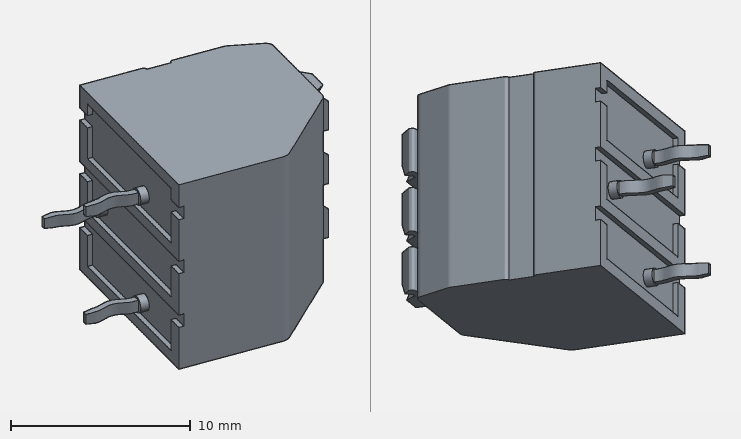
import cadquery as cq
import math


width = 12.0
length = 12.0
height = 11.5
poles = 3
pitch = 3.5
front_corner_radius = 0.8
round_radius = 0.5
rear_slope_run = 0.86
rear_slope_rise = 2.37
front_chamfer = 4.68

groove_depth = 0.2
groove_bottom = 4.1
groove_top = 5.61

recess_depth = 0.32
side_wall = 0.95
recess_start = 0.71
vent_start = 2.72
vent_end = 3.52
last_recess_end = 11.27

hook_start = 0.96
hook_length = 2.57
hook_height = 1.63
hook_nose_x = 2.0
hook_stem_x = 2.49
hook_back_x = 4.71
hook_chamfer = 0.73
nose_thickness = 0.28
nose_underside_drop = 0.08
nose_top_round = 0.13
nose_bottom_round = 0.18
hook_throat_round = 0.1

slot_angle = 35.6
slot_depth = 0.68
slot_top_width = 0.95
slot_floor_width = 0.22
slot_length = 9.96

pin_z = 1.76
front_pin_x = 7.32
rear_pin_x = 2.32
rear_blade_shift = -0.03
collar_radius = 0.5
collar_length = 0.22
pin_thickness = 0.42
pin_breadth = 0.75
pin_length = 3.47
tip_thickness = 0.28
tip_breadth = 0.63
tip_start = 2.9
kink_start = 0.66
kink_end = 2.69
kink_offset = 0.35
kink_radius = 1.16


def make_housing():
    blank = (
        cq.Workplane("XY")
        .moveTo(0, 0)
        .lineTo(width, 0)
        .lineTo(width, height - front_chamfer)
        .lineTo(width - front_chamfer, height)
        .lineTo(rear_slope_run, height)
        .lineTo(0, height - rear_slope_rise)
        .close()
        .extrude(length)
    )
    rounded = blank.edges("|Z and >X").edges(">Y").fillet(front_corner_radius)
    slope_ends = (
        (width - front_chamfer, height),
        (rear_slope_run, height),
        (0, height - rear_slope_rise),
    )
    for x, y in slope_ends:
        corner = cq.selectors.NearestToPointSelector((x, y, length / 2))
        rounded = rounded.edges("|Z").edges(corner).fillet(round_radius)

    groove = (
        cq.Workplane("XY")
        .moveTo(0, groove_bottom - groove_depth)
        .radiusArc((groove_depth, groove_bottom), groove_depth)
        .lineTo(groove_depth, groove_top)
        .radiusArc((0, groove_top + groove_depth), groove_depth)
        .close()
        .extrude(length)
    )
    return rounded.cut(groove)


def underside_pocket(x_start, x_end, z_start, z_end):
    pocket = cq.Workplane("XY").box(x_end - x_start, recess_depth, z_end - z_start, centered=False)
    return pocket.translate((x_start, 0, z_start))


def make_hook():
    top = height + hook_height
    nose_top = top - hook_chamfer
    nose_bottom = nose_top - nose_thickness
    root = height - hook_height
    hook = (
        cq.Workplane("XY")
        .moveTo(hook_stem_x, root)
        .lineTo(hook_back_x, root)
        .lineTo(hook_back_x, top)
        .lineTo(hook_nose_x + hook_chamfer, top)
        .lineTo(hook_nose_x, nose_top)
        .lineTo(hook_nose_x, nose_bottom)
        .lineTo(hook_stem_x, nose_bottom - nose_underside_drop)
        .close()
        .extrude(hook_length)
    )
    nose_rounds = (
        (hook_nose_x, nose_top, nose_top_round),
        (hook_nose_x, nose_bottom, nose_bottom_round),
        (hook_stem_x, nose_bottom - nose_underside_drop, hook_throat_round),
    )
    for x, y, radius in nose_rounds:
        corner = cq.selectors.NearestToPointSelector((x, y, hook_length / 2))
        hook = hook.edges("|Z").edges(corner).fillet(radius)

    angle = math.radians(slot_angle)
    slot_plane = cq.Plane(
        origin=((hook_nose_x + hook_chamfer + hook_back_x) / 2, top, hook_length / 2),
        xDir=(math.cos(angle), 0, -math.sin(angle)),
        normal=(math.sin(angle), 0, math.cos(angle)),
    )
    slot = (
        cq.Workplane(slot_plane)
        .moveTo(-slot_top_width / 2, 0)
        .lineTo(-slot_floor_width / 2, -slot_depth)
        .lineTo(slot_floor_width / 2, -slot_depth)
        .lineTo(slot_top_width / 2, 0)
        .close()
        .extrude(slot_length / 2, both=True)
    )
    return hook.cut(slot)


def make_pin(bend_direction, blade_shift):
    """Pin along -Y with its collar on the Y axis, kinked towards bend_direction (+1 or -1) along X."""
    half = pin_thickness / 2
    bend = bend_direction * kink_offset
    kink_middle = (kink_start + kink_end) / 2
    blade = (
        cq.Workplane("XY")
        .moveTo(-half, 0)
        .lineTo(-half, -kink_start)
        .lineTo(bend - half, -kink_middle)
        .lineTo(-half, -kink_end)
        .lineTo(-half, -tip_start)
        .lineTo(half, -tip_start)
        .lineTo(half, -kink_end)
        .lineTo(bend + half, -kink_middle)
        .lineTo(half, -kink_start)
        .lineTo(half, 0)
        .close()
        .extrude(pin_breadth / 2, both=True)
    )
    blade = blade.edges("|Z").edges("(not <Y) and (not >Y)").fillet(kink_radius)
    tip = (
        cq.Workplane("XZ", origin=(0, -tip_start, 0))
        .rect(pin_thickness, pin_breadth)
        .workplane(offset=pin_length - tip_start)
        .rect(tip_thickness, tip_breadth)
        .loft()
    )
    collar = (
        cq.Workplane("XZ", origin=(0, recess_depth, 0))
        .circle(collar_radius)
        .extrude(recess_depth + collar_length)
    )
    return blade.union(tip).translate((blade_shift, 0, 0)).union(collar)


result = make_housing()

for pole in range(poles):
    shift = pole * pitch
    recess_end = last_recess_end if pole == poles - 1 else vent_end + shift
    result = result.cut(underside_pocket(side_wall, width - side_wall, recess_start + shift, recess_end))
    result = result.cut(underside_pocket(0, width, vent_start + shift, vent_end + shift))

hook = make_hook()
front_pin = make_pin(-1, 0).translate((front_pin_x, 0, pin_z))
rear_pin = make_pin(1, rear_blade_shift).translate((rear_pin_x, 0, pin_z))
for pole in range(poles):
    shift = pole * pitch
    result = result.union(hook.translate((0, 0, hook_start + shift)))
    pin = rear_pin if pole % 2 == 1 else front_pin
    result = result.union(pin.translate((0, 0, shift)))